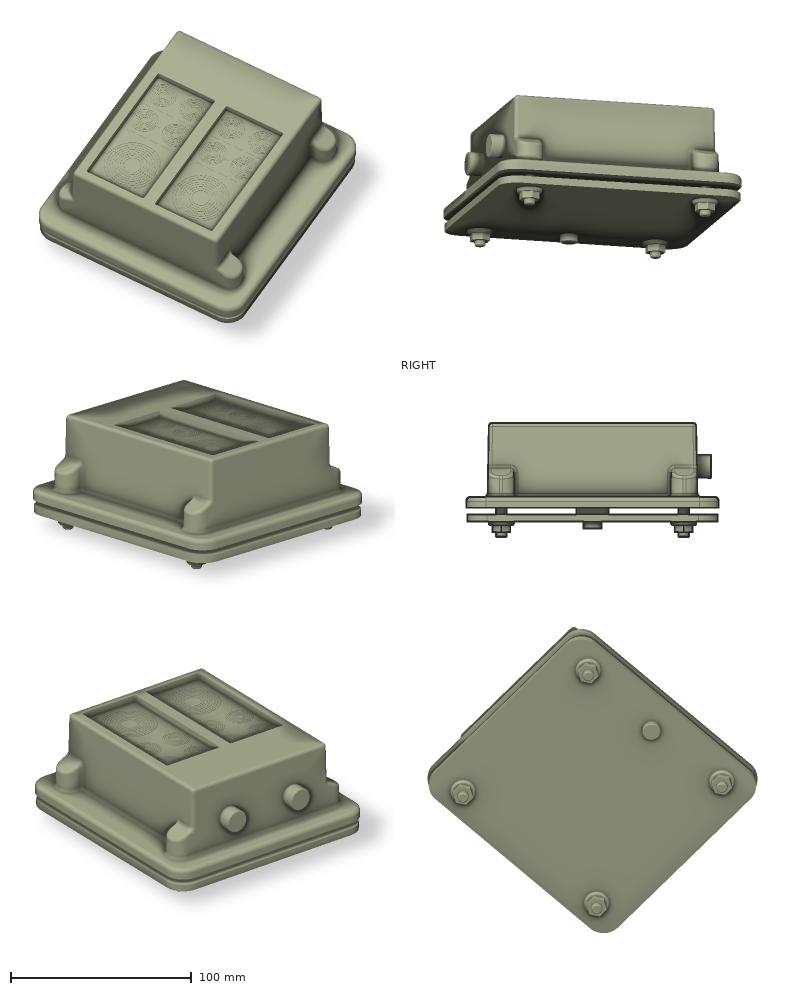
import cadquery as cq
import math

NUT_BOTTOM = 2.9
PLATE_BOTTOM = 8.7
PLATE_THICKNESS = 4.0
PLATE_TOP = PLATE_BOTTOM + PLATE_THICKNESS
FLANGE_BOTTOM = 16.4
FLANGE_THICKNESS = 6.1
FLANGE_TOP = FLANGE_BOTTOM + FLANGE_THICKNESS
COVER_TOP = 63.5

FLANGE_LENGTH = 131.0
FLANGE_WIDTH = 140.0
FLANGE_CORNER_RADIUS = 11.0
FLANGE_EDGE_RADIUS = 2.5
PLATE_INSET = 0.5

BODY_LENGTH = 94.4
BODY_WIDTH = 116.4
BODY_DRAFT = 1.0
BODY_RADIUS = 2.0

BOLT_X = 51.0
BOLT_Y = 50.5
BOSS_END_X = 57.8
BOSS_WIDTH = 14.9
BOSS_CORNER_RADIUS = 6.6
BOSS_TOP_SLOPE = 26.0
BOSS_TOP_AT_WALL = 38.9

POCKET_X = 22.0
POCKET_LENGTH = 37.0
POCKET_Y = -13.6
SMALL_MODULE_WIDTH = 20.0
SMALL_MODULE_ROWS = 2
LARGE_MODULE_WIDTH = 40.0
MODULE_STACK_WIDTH = SMALL_MODULE_ROWS * SMALL_MODULE_WIDTH + LARGE_MODULE_WIDTH
WINDOW_OVERLAP = 0.9
POCKET_WIDTH = MODULE_STACK_WIDTH - 2 * WINDOW_OVERLAP
POCKET_DEPTH = 4.4
POCKET_CORNER_RADIUS = 1.0
SMALL_CABLE_SPACING = 20.0
LARGE_CORE_RADIUS = 4.65
LARGE_RING_WIDTH = 0.75
LARGE_RING_COUNT = 8
SMALL_CORE_RADIUS = 1.9
SMALL_RING_WIDTH = 0.54
SMALL_RING_COUNT = 6
GROOVE_DEPTH = 0.2
SEAM_WIDTH = 0.1
SEAM_END_GAP = 0.1

PIPE_DIAMETER = 13.0
PIPE_END_Y = 65.8
PIPE_Z = 39.4
PIPE_CHAMFER = 0.4

BOLT_DIAMETER = 6.0
BOLT_TIP_CHAMFER = 0.6
NUT_ACROSS_FLATS = 10.0
NUT_FLANGE_DIAMETER = 14.2
NUT_FLANGE_HEIGHT = 2.1
NUT_FLANGE_END_DIAMETER = 12.4
NUT_FLANGE_ARC_RADIUS = 2.4

BLOCK_X = 48.0
BLOCK_LENGTH = 12.0
BLOCK_WIDTH = 18.2
BLOCK_CORNER_RADIUS = 2.0
PIN_DIAMETER = 10.0
PIN_LENGTH = 4.0
PIN_CHAMFER = 0.4

SELECTION_MARGIN = 0.5


def rounded_slab(length, width, corner_radius, bottom, top):
    """Slab centred on the Z axis with rounded vertical corners."""
    slab = cq.Workplane("XY").workplane(offset=bottom).rect(length, width).extrude(top - bottom)
    return slab.edges("|Z").fillet(corner_radius)


def drafted_block(length, width, corner_radius, bottom, top, centre=(0, 0)):
    """Rounded block whose walls lean inward by the body draft."""
    outline = cq.Sketch().rect(length, width)
    if corner_radius:
        outline = outline.vertices().fillet(corner_radius)
    plane = cq.Workplane("XY").workplane(offset=bottom).center(*centre)
    return plane.placeSketch(outline).extrude(top - bottom, taper=BODY_DRAFT)


def boss_bars():
    """Front and back bars across the body whose rounded, sloped ends are the bolt bosses."""
    slope = math.tan(math.radians(BOSS_TOP_SLOPE))
    wall_x = BODY_LENGTH / 2
    peak = BOSS_TOP_AT_WALL + wall_x * slope
    foot_x = BODY_LENGTH
    foot = peak - foot_x * slope
    roof = (
        cq.Workplane("XZ")
        .polyline([(-foot_x, foot), (0, peak), (foot_x, foot)])
        .close()
        .extrude(FLANGE_WIDTH / 2, both=True)
    )
    bars = []
    centre_y = (BODY_WIDTH - BOSS_WIDTH) / 2
    for side in (-1, 1):
        bar = drafted_block(
            2 * BOSS_END_X, BOSS_WIDTH, BOSS_CORNER_RADIUS, FLANGE_TOP, COVER_TOP, (0, side * centre_y)
        )
        bars.append(bar.intersect(roof))
    return bars


def height_range(bottom, top):
    """Selects edges of the body and bosses whose centre lies between two heights."""
    half_x = BOSS_END_X + SELECTION_MARGIN
    half_y = BODY_WIDTH / 2 + SELECTION_MARGIN
    return cq.selectors.BoxSelector((-half_x, -half_y, bottom), (half_x, half_y, top))


def is_tangent_line(edge):
    """True for the upright lines where a flat boss wall turns into its round corner."""
    upright = edge.BoundingBox().zlen > BOSS_WIDTH / 2
    return upright and abs(edge.Center().x) > BODY_LENGTH / 2 + SELECTION_MARGIN


def cover_body():
    """Drafted body merged with its bosses, with all edges above the flange rounded."""
    body = drafted_block(BODY_LENGTH, BODY_WIDTH, 0, FLANGE_TOP, COVER_TOP)
    for bar in boss_bars():
        body = body.union(bar)
    body = body.clean()

    in_between = body.edges(height_range(FLANGE_TOP + SELECTION_MARGIN, COVER_TOP - SELECTION_MARGIN))
    sharp_edges = [edge for edge in in_between.vals() if not is_tangent_line(edge)]
    body = body.newObject(sharp_edges).fillet(BODY_RADIUS)
    return body.faces(">Z").edges().fillet(BODY_RADIUS)


def cover():
    """Body on its flange, blended by a fillet along the foot of the walls."""
    flange = rounded_slab(FLANGE_LENGTH, FLANGE_WIDTH, FLANGE_CORNER_RADIUS, FLANGE_BOTTOM, FLANGE_TOP)
    flange = flange.faces(">Z").edges().fillet(FLANGE_EDGE_RADIUS)
    joined = flange.union(cover_body())
    foot_edges = joined.edges(height_range(FLANGE_TOP - SELECTION_MARGIN, FLANGE_TOP + SELECTION_MARGIN))
    return foot_edges.fillet(BODY_RADIUS)


def pocket_cutter(pocket_x):
    """Rectangular pocket for one column of cable modules."""
    floor = COVER_TOP - POCKET_DEPTH
    pocket = rounded_slab(POCKET_LENGTH, POCKET_WIDTH, POCKET_CORNER_RADIUS, floor, COVER_TOP)
    return pocket.translate((pocket_x, POCKET_Y, 0))


def ring_grooves(x, y, core_radius, ring_width, ring_count):
    """Evenly spaced concentric grooves, as wide as the ridges between them."""
    plane = cq.Workplane("XY", origin=(x, y, COVER_TOP - POCKET_DEPTH))
    rings = []
    for index in range(ring_count):
        inner = core_radius + 2 * index * ring_width
        rings.append(plane.circle(inner + ring_width).circle(inner).extrude(-GROOVE_DEPTH).val())
    return rings


def outer_radius(core_radius, ring_width, ring_count):
    """Outer radius of a set of ring grooves."""
    return core_radius + (2 * ring_count - 1) * ring_width


def seam(start_x, end_x, y):
    """Thin groove along X where two module parts meet."""
    plane = cq.Workplane("XY", origin=((start_x + end_x) / 2, y, COVER_TOP - POCKET_DEPTH))
    return plane.rect(end_x - start_x, SEAM_WIDTH).extrude(-GROOVE_DEPTH).val()


def small_module_grooves(pocket_x, middle_y):
    """Two small cable positions and the split line between them."""
    rings = (SMALL_CORE_RADIUS, SMALL_RING_WIDTH, SMALL_RING_COUNT)
    reach = SMALL_CABLE_SPACING / 2 - outer_radius(*rings) - SEAM_END_GAP
    grooves = [seam(pocket_x - reach, pocket_x + reach, middle_y)]
    for side in (-1, 1):
        grooves += ring_grooves(pocket_x + side * SMALL_CABLE_SPACING / 2, middle_y, *rings)
    return grooves


def large_module_grooves(pocket_x, middle_y):
    """One large cable position and the split line on both sides of it."""
    rings = (LARGE_CORE_RADIUS, LARGE_RING_WIDTH, LARGE_RING_COUNT)
    reach = outer_radius(*rings) + SEAM_END_GAP
    left_wall = pocket_x - POCKET_LENGTH / 2
    right_wall = pocket_x + POCKET_LENGTH / 2
    grooves = ring_grooves(pocket_x, middle_y, *rings)
    grooves.append(seam(left_wall, pocket_x - reach, middle_y))
    grooves.append(seam(pocket_x + reach, right_wall, middle_y))
    return grooves


def module_grooves(pocket_x):
    """Grooves of the small module rows and the large module, from back to front."""
    grooves = []
    back_y = POCKET_Y + MODULE_STACK_WIDTH / 2
    for _ in range(SMALL_MODULE_ROWS):
        grooves += small_module_grooves(pocket_x, back_y - SMALL_MODULE_WIDTH / 2)
        back_y -= SMALL_MODULE_WIDTH
        grooves.append(seam(pocket_x - POCKET_LENGTH / 2, pocket_x + POCKET_LENGTH / 2, back_y))
    grooves += large_module_grooves(pocket_x, back_y - LARGE_MODULE_WIDTH / 2)
    return grooves


def pipe_stub(x):
    """Pipe stub out of the back wall, starting inside the body."""
    start_y = BODY_WIDTH / 2 - PIPE_DIAMETER / 2
    stub = cq.Workplane("XZ", origin=(x, start_y, PIPE_Z)).circle(PIPE_DIAMETER / 2)
    stub = stub.extrude(start_y - PIPE_END_Y)
    return stub.faces(">Y").chamfer(PIPE_CHAMFER)


def bolt_with_nut(x, y):
    """Bolt from the cover flange down to its tip, with a flange nut under the backing plate."""
    bolt = cq.Workplane("XY").circle(BOLT_DIAMETER / 2).extrude(FLANGE_BOTTOM)
    bolt = bolt.faces("<Z").chamfer(BOLT_TIP_CHAMFER)

    hexagon_diameter = NUT_ACROSS_FLATS / math.cos(math.pi / 6)
    hexagon = cq.Workplane("XY", origin=(0, 0, NUT_BOTTOM)).polygon(6, hexagon_diameter)
    hexagon = hexagon.extrude(PLATE_BOTTOM - NUT_BOTTOM)

    flange_bottom = PLATE_BOTTOM - NUT_FLANGE_HEIGHT
    nut_flange = (
        cq.Workplane("XZ")
        .moveTo(0, PLATE_BOTTOM)
        .lineTo(NUT_FLANGE_DIAMETER / 2, PLATE_BOTTOM)
        .radiusArc((NUT_FLANGE_END_DIAMETER / 2, flange_bottom), NUT_FLANGE_ARC_RADIUS)
        .lineTo(0, flange_bottom)
        .close()
        .revolve(360, (0, 0), (0, 1))
    )
    return bolt.union(hexagon).union(nut_flange).translate((x, y, 0))


def spacer_with_pin():
    """Spacer block between the plates and the pin under it."""
    block = rounded_slab(BLOCK_LENGTH, BLOCK_WIDTH, BLOCK_CORNER_RADIUS, PLATE_TOP, FLANGE_BOTTOM)
    pin = cq.Workplane("XY", origin=(0, 0, PLATE_BOTTOM - PIN_LENGTH)).circle(PIN_DIAMETER / 2)
    pin = pin.extrude(PLATE_TOP - PLATE_BOTTOM + PIN_LENGTH)
    pin = pin.faces("<Z").chamfer(PIN_CHAMFER)
    return block.union(pin).translate((BLOCK_X, 0, 0))


part = cover()
for side in (-1, 1):
    part = part.union(pipe_stub(side * POCKET_X))
    part = part.cut(pocket_cutter(side * POCKET_X))

backing_plate = rounded_slab(
    FLANGE_LENGTH - 2 * PLATE_INSET,
    FLANGE_WIDTH - 2 * PLATE_INSET,
    FLANGE_CORNER_RADIUS,
    PLATE_BOTTOM,
    PLATE_TOP,
)
hardware = backing_plate.union(spacer_with_pin())
for side_x in (-1, 1):
    for side_y in (-1, 1):
        hardware = hardware.union(bolt_with_nut(side_x * BOLT_X, side_y * BOLT_Y))
part = part.union(hardware)

for side in (-1, 1):
    grooves = cq.Compound.makeCompound(module_grooves(side * POCKET_X))
    part = part.cut(cq.Workplane(grooves))

result = part